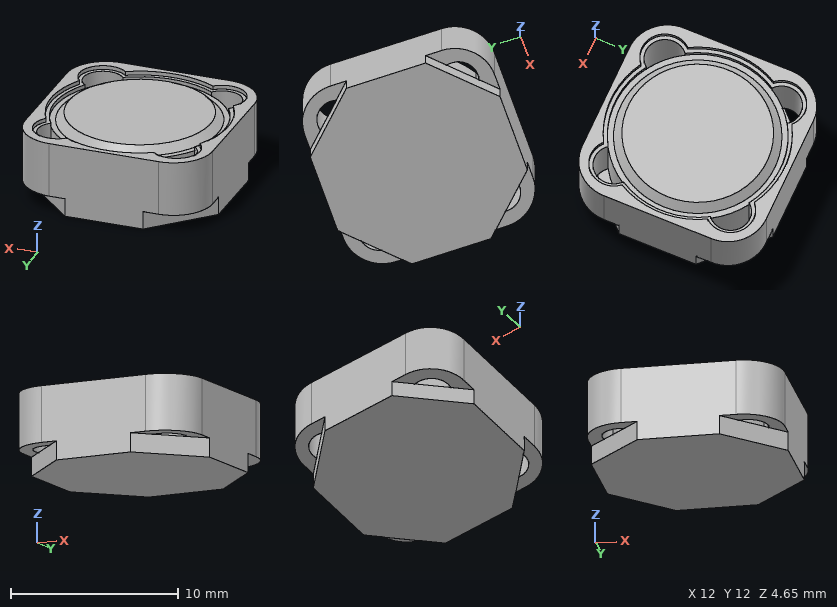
import cadquery as cq

width = 12.0
height = 4.65
corner_radius = 2.5

foot_height = 1.17
foot_flat = 5.0

core_radius = 5.4
shoulder_depth = 0.5

cap_base_radius = 5.03
cap_top_radius = 4.53

hole_offset = 3.8
hole_radius = 1.25

ledge_width = 0.25
ledge_depth = 0.25

hole_centers = [(sx * hole_offset, sy * hole_offset) for sx in (-1, 1) for sy in (-1, 1)]


def make_foot():
    """Square foot with its four corners cut at 45 degrees."""
    corner_cut = (width - foot_flat) / 2
    foot = cq.Workplane("XY").rect(width, width).extrude(foot_height)
    return foot.edges("|Z").chamfer(corner_cut)


def make_pocket(floor, margin):
    """Round pocket joined with the four corner holes, grown outward by margin."""
    base = cq.Workplane("XY").workplane(offset=floor)
    depth = height - floor
    pocket = base.circle(core_radius + margin).extrude(depth)
    holes = base.pushPoints(hole_centers).circle(hole_radius + margin).extrude(depth)
    return pocket.union(holes)


def make_shell():
    """Rounded square wall on the foot, with the stepped pocket through it."""
    block = cq.Workplane("XY").workplane(offset=foot_height)
    block = block.rect(width, width).extrude(height - foot_height)
    block = block.edges("|Z").fillet(corner_radius)
    through_pocket = make_pocket(foot_height, 0)
    ledge_pocket = make_pocket(height - ledge_depth, ledge_width)
    return block.cut(through_pocket).cut(ledge_pocket)


def make_core():
    """Cylinder up to the shoulder, topped by a tapered cap."""
    shoulder_height = height - shoulder_depth
    core = cq.Workplane("XY").circle(core_radius).extrude(shoulder_height)
    cap = core.faces(">Z").workplane().circle(cap_base_radius)
    cap = cap.workplane(offset=shoulder_depth).circle(cap_top_radius).loft(combine=False)
    return core.union(cap)


result = make_foot().union(make_shell()).union(make_core())